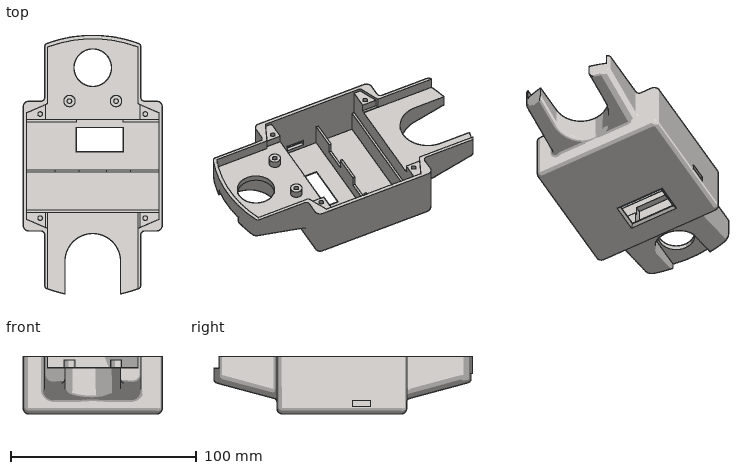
import cadquery as cq
import math

LENGTH = 139.3

BOX_WIDTH = 75.0
BOX_LENGTH = 69.9
HEIGHT = 31.0
BOX_ROUND = 3.0
BOX_WALL = 2.0
FLOOR = 2.0

ARM_WIDTH = 51.8
ARM_WALL = 1.7
ARM_END_WALL = 2.0
ARM_ROOT_Z = 8.0
ARM_SLOPE = 15
ARM_SIDE_ROUND = 4.9
BLEND = 2.0
BACK_DECK_Z = 25.1
FORK_DECK_Z = 24.7

FORK_RADIUS = 14.9
FORK_CENTER_Y = 51.3
HOLE_DIAMETER = 20.0
HOLE_CENTER_Y = 52.9
SLOT_WIDTH = 22.5
SLOT_TOP_Z = 21.7

CAVITY_LENGTH = 50.0
RIB = 1.3
RIB_TOP_Z = 14.3
MIDDLE_RIB_Y = -2.6
NOTCH_INNER_X = 7.4
NOTCH_OUTER_X = 20.3
NOTCH_Z = 8.8
WINDOW_WIDTH = 25.1
WINDOW_CENTER_X = 3.8
WINDOW_LENGTH = 13.0
WINDOW_CENTER_Y = 14.2
WINDOW_CHAMFER = 1.4
RECESS_DEPTH = 3.0
RECESS_TOP_Z = 20.2
SIDE_WINDOW_LENGTH = 9.6
SIDE_WINDOW_HEIGHT = 3.2
SIDE_WINDOW_CENTER_Y = 10.6
SIDE_WINDOW_Z = 4.0

PAD_TOP_Z = 29.4
PAD_INNER_X = 25.5
POCKET_SIDE_Y = 28.7
POCKET_ARM_Y = 33.5
POCKET_ROUND = 1.4
SCREW_HOLE = 2.5
SCREW_DEPTH = 8.4
PAD_HOLE_X = 28.3
PAD_HOLE_Y = 28.0
POST_DIAMETER = 6.1
POST_TOP_Z = 29.1
POST_X = 12.5
POST_Y = 35.0

END_RADIUS = (LENGTH**2 + FORK_RADIUS**2) / (2 * LENGTH)
PICK_MARGIN = 0.1
CAVITY_X = BOX_WIDTH / 2 - BOX_WALL
CAVITY_Y = CAVITY_LENGTH / 2
ARM_INNER_X = ARM_WIDTH / 2 - ARM_WALL


def block(x0, x1, y0, y1, z0, z1):
    """Axis-aligned block between the given limits."""
    return cq.Workplane("XY").box(x1 - x0, y1 - y0, z1 - z0, centered=False).translate((x0, y0, z0))


def cylinder(diameter, x, y, z0, z1):
    """Upright cylinder between two heights."""
    return cq.Workplane("XY", origin=(x, y, z0)).circle(diameter / 2).extrude(z1 - z0)


def u_slot(width, center_y, z0, z1):
    """Slot with a round inner end, running out past the arm end toward +Y."""
    run = block(-width / 2, width / 2, center_y, center_y + END_RADIUS, z0, z1)
    return run.union(cylinder(width, 0, center_y, z0, z1))


def make_box():
    """Solid box with rounded upright corners and bottom edges."""
    body = cq.Workplane("XY").box(BOX_WIDTH, BOX_LENGTH, HEIGHT, centered=(True, True, False))
    return body.edges("|Z").fillet(BOX_ROUND).faces("<Z").edges().fillet(BOX_ROUND)


def arm_blank(tip_y):
    """Square-ended arm toward +Y with a sloping underside and rounded lower sides."""
    inner_y = CAVITY_Y
    rise = math.tan(math.radians(ARM_SLOPE))
    tip_z = ARM_ROOT_Z + rise * (tip_y - BOX_LENGTH / 2)
    inner_z = ARM_ROOT_Z + rise * (inner_y - BOX_LENGTH / 2)
    side = [(inner_y, inner_z), (tip_y, tip_z), (tip_y, HEIGHT), (inner_y, HEIGHT)]
    blank = cq.Workplane("YZ").polyline(side).close().extrude(ARM_WIDTH / 2, both=True)
    lower_sides = cq.selectors.BoxSelector(
        (-ARM_WIDTH, inner_y + BLEND, 0), (ARM_WIDTH, tip_y - BLEND, BACK_DECK_Z)
    )
    return blank.edges(lower_sides).edges("<X or >X").fillet(ARM_SIDE_ROUND)


def opened_arm(opening):
    """Arm toward +Y with an opening through its underside, all lower edges blended."""
    tip_y = END_RADIUS + BLEND
    rounded = arm_blank(tip_y).intersect(cylinder(2 * END_RADIUS, 0, 0, 0, HEIGHT))
    end_edges = cq.selectors.BoxSelector(
        (-ARM_WIDTH, HOLE_CENTER_Y, 0), (ARM_WIDTH, tip_y, HEIGHT - PICK_MARGIN)
    )
    rounded = rounded.edges(end_edges).fillet(BLEND)
    opened = arm_blank(tip_y).cut(opening)
    half_width = opening.val().BoundingBox().xmax + PICK_MARGIN
    lower_edges = cq.selectors.BoxSelector(
        (-half_width, CAVITY_Y + BLEND, 0), (half_width, tip_y - BLEND, SLOT_TOP_Z - BLEND)
    )
    opened = opened.edges(lower_edges).edges("not(|Z)").fillet(BLEND)
    return opened.intersect(rounded)


def make_body():
    """Box and arms as one solid, with the arm roots blended into the box."""
    slot = u_slot(SLOT_WIDTH, HOLE_CENTER_Y, 0, SLOT_TOP_Z)
    notch = u_slot(2 * FORK_RADIUS, FORK_CENTER_Y, 0, HEIGHT)
    back_arm = opened_arm(slot)
    fork_arm = opened_arm(notch).mirror("XZ")
    body = make_box().union(back_arm).union(fork_arm)
    for root_y in (-BOX_LENGTH / 2, BOX_LENGTH / 2):
        root = cq.selectors.BoxSelector(
            (-ARM_WIDTH / 2 - PICK_MARGIN, root_y - PICK_MARGIN, BOX_ROUND + PICK_MARGIN),
            (ARM_WIDTH / 2 + PICK_MARGIN, root_y + PICK_MARGIN, HEIGHT - PICK_MARGIN),
        )
        body = body.edges(root).fillet(BLEND)
    return body


def upper_pocket():
    """Shallow pocket over the whole back deck and between the corner pads."""
    outline = [
        (ARM_INNER_X, -POCKET_ARM_Y),
        (CAVITY_X, -POCKET_SIDE_Y),
        (CAVITY_X, POCKET_SIDE_Y),
        (ARM_INNER_X, POCKET_ARM_Y),
        (ARM_INNER_X, END_RADIUS),
    ]
    mirrored = [(-x, y) for x, y in reversed(outline)]
    depth = HEIGHT - BACK_DECK_Z
    deck = cq.Workplane("XY", origin=(0, 0, BACK_DECK_Z))
    pocket = deck.polyline(outline + mirrored).close().extrude(depth)
    arm_corners = cq.selectors.BoxSelector(
        (-ARM_INNER_X - PICK_MARGIN, POCKET_ARM_Y - PICK_MARGIN, BACK_DECK_Z),
        (ARM_INNER_X + PICK_MARGIN, POCKET_ARM_Y + PICK_MARGIN, HEIGHT),
    )
    pocket = pocket.edges("|Z").edges(arm_corners).fillet(POCKET_ROUND)
    end_limit = cylinder(2 * (END_RADIUS - ARM_END_WALL), 0, 0, 0, HEIGHT)
    return pocket.intersect(end_limit)


def corner_pads():
    """Screw pads left standing in the four corners of the upper pocket."""
    pads = cq.Workplane("XY")
    for side in (-1, 1):
        for end in (-1, 1):
            x0, x1 = sorted((side * PAD_INNER_X, side * CAVITY_X))
            y0, y1 = sorted((end * CAVITY_Y, end * BOX_LENGTH / 2))
            pads = pads.add(block(x0, x1, y0, y1, BACK_DECK_Z, PAD_TOP_Z))
    return pads.combine()


def ribs():
    """Cross ribs on the box floor: back with a gap, middle with two notches, front plain."""
    back = block(-CAVITY_X, CAVITY_X, CAVITY_Y - RIB, CAVITY_Y, FLOOR, RIB_TOP_Z)
    gap_x0 = WINDOW_CENTER_X - WINDOW_WIDTH / 2
    gap_x1 = WINDOW_CENTER_X + WINDOW_WIDTH / 2
    back = back.cut(block(gap_x0, gap_x1, 0, CAVITY_Y, FLOOR, HEIGHT))
    middle_y0 = MIDDLE_RIB_Y - RIB / 2
    middle_y1 = MIDDLE_RIB_Y + RIB / 2
    middle = block(-CAVITY_X, CAVITY_X, middle_y0, middle_y1, FLOOR, RIB_TOP_Z)
    notch = block(NOTCH_INNER_X, NOTCH_OUTER_X, middle_y0, middle_y1, NOTCH_Z, HEIGHT)
    middle = middle.cut(notch).cut(notch.mirror("YZ"))
    front = block(-CAVITY_X, CAVITY_X, -CAVITY_Y, -CAVITY_Y + RIB, FLOOR, RIB_TOP_Z)
    return back.union(middle).union(front)


def windows():
    """Floor window flared at 45 degrees below, side window and the recess behind the back rib gap."""
    x0 = WINDOW_CENTER_X - WINDOW_WIDTH / 2
    x1 = WINDOW_CENTER_X + WINDOW_WIDTH / 2
    half = WINDOW_LENGTH / 2
    floor_window = block(x0, x1, WINDOW_CENTER_Y - half, WINDOW_CENTER_Y + half, 0, FLOOR)
    flare = (
        floor_window.faces("<Z")
        .wires()
        .toPending()
        .offset2D(WINDOW_CHAMFER, "intersection")
        .extrude(WINDOW_CHAMFER, taper=45, combine=False)
    )
    recess = block(x0, x1, CAVITY_Y, CAVITY_Y + RECESS_DEPTH, FLOOR, RECESS_TOP_Z)
    half = SIDE_WINDOW_LENGTH / 2
    side_window = block(
        CAVITY_X,
        BOX_WIDTH / 2,
        SIDE_WINDOW_CENTER_Y - half,
        SIDE_WINDOW_CENTER_Y + half,
        SIDE_WINDOW_Z,
        SIDE_WINDOW_Z + SIDE_WINDOW_HEIGHT,
    )
    return floor_window.union(flare).union(recess).union(side_window)


result = make_body().cut(upper_pocket().cut(corner_pads()))
result = result.cut(block(-ARM_INNER_X, ARM_INNER_X, -END_RADIUS, -CAVITY_Y, FORK_DECK_Z, HEIGHT))
result = result.cut(block(-CAVITY_X, CAVITY_X, -CAVITY_Y, CAVITY_Y, FLOOR, HEIGHT))
result = result.cut(windows()).union(ribs())

result = result.cut(cylinder(HOLE_DIAMETER, 0, HOLE_CENTER_Y, 0, HEIGHT))

for x in (-POST_X, POST_X):
    result = result.union(cylinder(POST_DIAMETER, x, POST_Y, BACK_DECK_Z, POST_TOP_Z))
    result = result.cut(cylinder(SCREW_HOLE, x, POST_Y, POST_TOP_Z - SCREW_DEPTH, POST_TOP_Z))
for x in (-PAD_HOLE_X, PAD_HOLE_X):
    for y in (-PAD_HOLE_Y, PAD_HOLE_Y):
        result = result.cut(cylinder(SCREW_HOLE, x, y, PAD_TOP_Z - SCREW_DEPTH, PAD_TOP_Z))